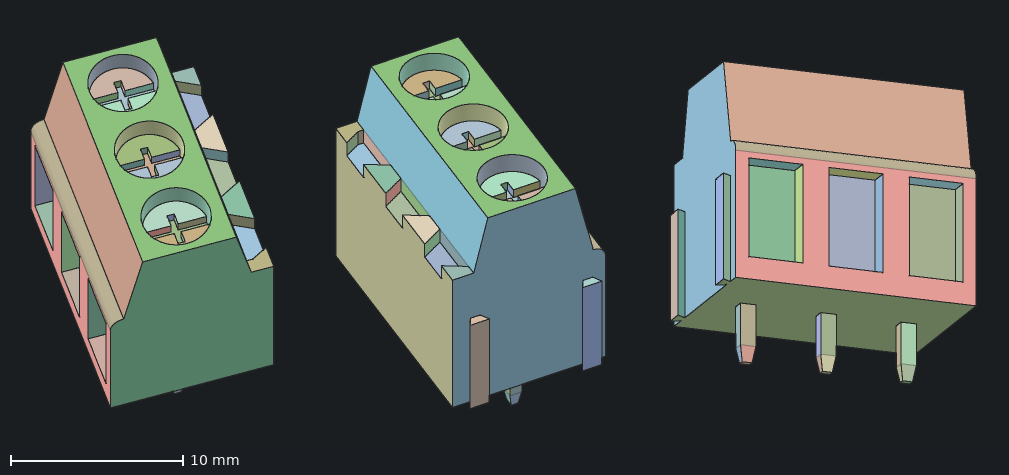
import cadquery as cq


POLES = 3
PITCH = 5.0
POLE_CENTERS = [(i + 0.5) * PITCH for i in range(POLES)]

WIDTH = POLES * PITCH
DEPTH = 10.0
HEIGHT = 13.79
LEDGE_Z = 9.88
LEDGE_DEPTH = 1.38
TOP_BACK_INSET = 2.3
TOP_FRONT_INSET = 1.97
SHOULDER_Z = 8.58
SHOULDER_RADIUS = 0.81
TOP_BACK_Y = DEPTH - TOP_BACK_INSET
LEDGE_INNER_Y = DEPTH - LEDGE_DEPTH

CONTACT_Y = (TOP_FRONT_INSET + TOP_BACK_Y) / 2

ENTRY_WIDTH = 3.35
ENTRY_BOTTOM_Z = 1.37
ENTRY_TOP_Z = 7.39
ENTRY_DEPTH = 1.28

NOTCH_MOUTH_WIDTH = 2.13
NOTCH_INNER_WIDTH = 3.68
NOTCH_DEPTH = 1.0
NOTCH_END_WALL = 0.86

TONGUE_REACH = 0.55
TONGUE_HEIGHT = 6.47
TONGUE_OUTER_WIDTH = 1.28
TONGUE_ROOT_WIDTH = 0.64
TONGUE_FRONT_Y = 1.18
TONGUE_BACK_Y = DEPTH - 1.49

BORE_RADIUS = 2.05
SCREW_RADIUS = 1.97
SCREW_RECESS = 1.25
SCREW_HEIGHT = 1.0
BORE_FLOOR_Z = HEIGHT - SCREW_RECESS - SCREW_HEIGHT
LONG_SLOT_WIDTH = 0.57
SHORT_SLOT_LENGTH = 2.08
SHORT_SLOT_WIDTH = 0.43
SLOT_DEPTH = 0.6

PIN_LENGTH = 3.51
PIN_TIP_LENGTH = 0.97
PIN_SHANK_LENGTH = PIN_LENGTH - PIN_TIP_LENGTH
PIN_WIDTH = 0.97
PIN_THICKNESS = 0.8
TIP_WIDTH = 0.62
TIP_THICKNESS = 0.45


def make_housing_block():
    """Side profile, with a rounded front shoulder, extruded across all poles."""
    shoulder_start_z = SHOULDER_Z - SHOULDER_RADIUS
    arc_reach = SHOULDER_RADIUS * 0.5 ** 0.5
    return (
        cq.Workplane("YZ")
        .moveTo(0, 0)
        .lineTo(DEPTH, 0)
        .lineTo(DEPTH, LEDGE_Z)
        .lineTo(LEDGE_INNER_Y, LEDGE_Z)
        .lineTo(TOP_BACK_Y, HEIGHT)
        .lineTo(TOP_FRONT_INSET, HEIGHT)
        .lineTo(SHOULDER_RADIUS, SHOULDER_Z)
        .threePointArc((SHOULDER_RADIUS - arc_reach, shoulder_start_z + arc_reach), (0, shoulder_start_z))
        .close()
        .extrude(WIDTH)
    )


def make_tongue(center_y):
    """Dovetail tongue, widest at its outer face."""
    root_half = TONGUE_ROOT_WIDTH / 2
    outer_half = TONGUE_OUTER_WIDTH / 2
    return (
        cq.Workplane("XY")
        .polyline([
            (0, center_y - root_half),
            (0, center_y + root_half),
            (-TONGUE_REACH, center_y + outer_half),
            (-TONGUE_REACH, center_y - outer_half),
        ])
        .close()
        .extrude(TONGUE_HEIGHT)
    )


def make_entry_cutter(center_x):
    """Rectangular wire-entry pocket in the front face."""
    entry_height = ENTRY_TOP_Z - ENTRY_BOTTOM_Z
    return (
        cq.Workplane("XY")
        .box(ENTRY_WIDTH, ENTRY_DEPTH, entry_height, centered=(True, False, False))
        .translate((center_x, 0, ENTRY_BOTTOM_Z))
    )


def make_notch_cutter(center_x):
    """Dovetail notch across the ledge, narrowest at the back face.

    The last notch has its inner right corner cut short, to leave a full-thickness end wall.
    """
    mouth_half = NOTCH_MOUTH_WIDTH / 2
    inner_half = NOTCH_INNER_WIDTH / 2
    dovetail = (
        cq.Workplane("XY", origin=(center_x, 0, LEDGE_Z - NOTCH_DEPTH))
        .polyline([
            (-mouth_half, DEPTH),
            (-inner_half, LEDGE_INNER_Y),
            (inner_half, LEDGE_INNER_Y),
            (mouth_half, DEPTH),
        ])
        .close()
        .extrude(NOTCH_DEPTH)
    )
    space_inside_end_wall = cq.Workplane("XY").box(WIDTH - NOTCH_END_WALL, DEPTH, HEIGHT, centered=False)
    return dovetail.intersect(space_inside_end_wall)


def make_bore_cutter(center_x):
    """Round bore from the top face down to the seat of the screw."""
    return (
        cq.Workplane("XY", origin=(center_x, CONTACT_Y, BORE_FLOOR_Z))
        .circle(BORE_RADIUS)
        .extrude(HEIGHT - BORE_FLOOR_Z)
    )


def make_housing():
    body = make_housing_block()
    for center_y in (TONGUE_FRONT_Y, TONGUE_BACK_Y):
        body = body.union(make_tongue(center_y))
    for center_x in POLE_CENTERS:
        body = body.cut(make_entry_cutter(center_x))
        body = body.cut(make_notch_cutter(center_x))
        body = body.cut(make_bore_cutter(center_x))
    return body


def make_screw(center_x):
    """Screw head seated on the bore floor, with a full-width slot and a short cross slot."""
    head = cq.Workplane("XY").circle(SCREW_RADIUS).extrude(SCREW_HEIGHT)
    slots = (
        cq.Workplane("XY", origin=(0, 0, SCREW_HEIGHT - SLOT_DEPTH))
        .rect(LONG_SLOT_WIDTH, 2 * SCREW_RADIUS)
        .extrude(SLOT_DEPTH)
        .union(
            cq.Workplane("XY", origin=(0, 0, SCREW_HEIGHT - SLOT_DEPTH))
            .rect(SHORT_SLOT_LENGTH, SHORT_SLOT_WIDTH)
            .extrude(SLOT_DEPTH)
        )
    )
    return head.cut(slots).translate((center_x, CONTACT_Y, BORE_FLOOR_Z))


def make_pin(center_x):
    """Rectangular solder pin below the housing, tapered at its tip."""
    shank = (
        cq.Workplane("XY", origin=(center_x, CONTACT_Y, -PIN_SHANK_LENGTH))
        .rect(PIN_WIDTH, PIN_THICKNESS)
        .extrude(PIN_SHANK_LENGTH)
    )
    tip = (
        cq.Workplane("XY", origin=(center_x, CONTACT_Y, -PIN_LENGTH))
        .rect(TIP_WIDTH, TIP_THICKNESS)
        .workplane(offset=PIN_TIP_LENGTH)
        .rect(PIN_WIDTH, PIN_THICKNESS)
        .loft(ruled=True)
    )
    return shank.union(tip)


housing = make_housing()
screws = [make_screw(center_x) for center_x in POLE_CENTERS]
pins = [make_pin(center_x) for center_x in POLE_CENTERS]

result = cq.Compound.makeCompound([
    housing.val(),
    *[screw.val() for screw in screws],
    *[pin.val() for pin in pins],
])